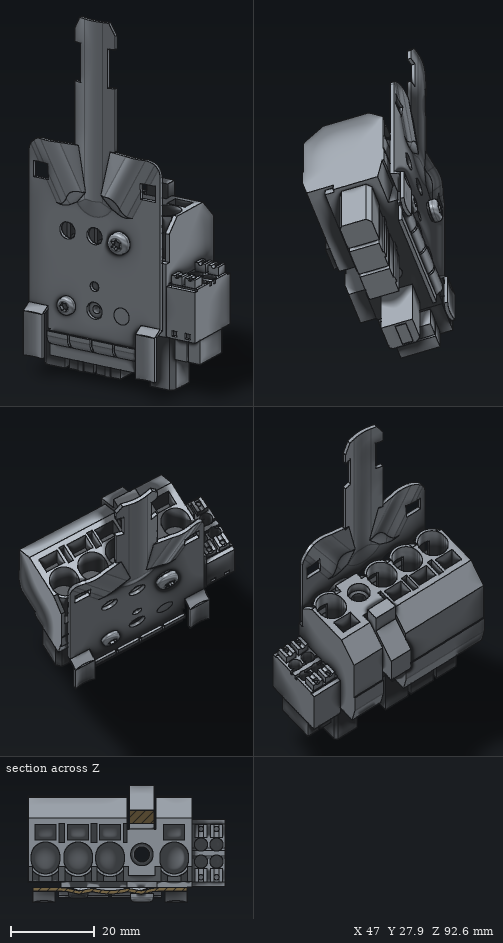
import cadquery as cq
import math


SHEET = 0.9
PLATE_HALF_WIDTH = 18.4
PLATE_TOP = 60.0
PLATE_CORNER_RADIUS = 4.0
NECK_HALF_WIDTH = 13.1
TAIL_HALF_WIDTH = 12.4
TAIL_TOP = 11.9
TAIL_BOTTOM = 5.3
WINDOW_SIZE = 4.1
WINDOW_CENTER_X = 15.0
WINDOW_CENTER_Z = 51.7
FORMING_DEPTH = 3.7

TONGUE_TOP = 92.6
TONGUE_HALF_WIDTH = 5.65
TONGUE_TIP_HALF_WIDTH = 4.1
TONGUE_TIP_HEIGHT = 3.1
TONGUE_NOTCH_HALF_WIDTH = 3.8
TONGUE_NOTCH_BOTTOM = 76.1
TONGUE_NOTCH_TOP = 86.0
TONGUE_CROWN_HALF_WIDTH = 2.5
TONGUE_CROWN_Y = -0.79
TONGUE_FLANGE_Y = -0.51
TONGUE_EDGE_Y = 0.2
TONGUE_CAP_BOTTOM = 42.7
TONGUE_CAP_LENGTH = 4.2

RIDGE_ANGLE = 28.0
RIDGE_END_X = 5.7
RIDGE_END_Z = 48.2
RIDGE_LENGTH = 23.15
RIDGE_OUTER_FOOT = 6.1
RIDGE_BEND = 4.8
RIDGE_BEND_HEIGHT = 0.14
RIDGE_INNER_FOOT = 7.2
RIDGE_CROWN_HALF_WIDTH = 2.4
RIDGE_SHOULDER_HEIGHT = 0.7
RIDGE_HEIGHT = 1.1
RIDGE_CAP_LENGTH = 2.8
RIDGE_CAP_RADIUS = 4.6

FOOT_BOTTOM = 4.9
FOOT_BEND_TOP = 17.7
FOOT_BEND_BOTTOM = 16.2
FOOT_STRIP_TOP = 17.0
FOOT_FRONT_Y = -2.6
FOOT_SAG = 0.42

HOOK_COUNT = 4
HOOK_WIDTH = 5.7
HOOK_PITCH = 6.3
HOOK_BOTTOM = 8.2
HOOK_REACH = 1.6
HOOK_RADIUS = 2.8
HOOK_THICKNESS = 0.65

HOLE_PITCH = 7.6
UPPER_ROW_Z = 37.8
LOWER_ROW_Z = 18.9
HOLE_RADIUS = 2.1
SMALL_HOLE_RADIUS = 1.2
SMALL_HOLE_Z = 25.0

HOUSING_HALF_WIDTH = 19.5
HOUSING_TOP = 44.8
HOUSING_BOTTOM = 15.6
HOUSING_FRONT_Y = 2.3
HOUSING_BACK_Y = 22.4
FRONT_CHAMFER_Y = 5.9
FRONT_CHAMFER_BOTTOM = 41.3
BACK_CHAMFER_Y = 17.5
BACK_CHAMFER_BOTTOM = 39.9
BAND_TOP = 27.3
BAND_BOTTOM = 22.2
BACK_BAND_RISE = 0.3
FRONT_BAND_RISE = 0.2
FRONT_TAPER_TOP_Y = 2.6
FRONT_TAPER_BOTTOM_Y = 3.7
HEEL_BACK_Y = 21.7
HOUSING_HEEL_Z = 17.5
HEEL_Y = 14.9
HEEL_BLOCK_Y = 17.2
HEEL_BLOCK_INSET = 0.7
POLE_CENTERS = [-15.4, -7.6, 0.0, 15.3]
ENTRY_WIDTH = 6.85
ENTRY_LENGTH = 7.6
ENTRY_CENTER_Y = 8.0
ENTRY_DEPTH = 11.1
COLLAR_WALL = 0.65
TEST_POCKET_WIDTH = 5.0
TEST_POCKET_FRONT = 12.2
TEST_POCKET_BACK = 15.9
TEST_POCKET_DEPTH = 7.4
SLOT_FRONT = 11.7
SLOT_BACK = 16.2
DIVIDER_SLOTS = [(-12.1, -10.8), (-4.5, -3.1), (3.2, 4.0)]
SHOULDER_HALF_WIDTH = 3.15
SHOULDER_FLOOR = 34.3
GROOVE_HALF_WIDTH = 1.6
GROOVE_BACK_Y = 5.6
GROOVE_BOTTOM = 34.3
GROOVE_TOP = 40.7
TOOTH_BACK_Y = 3.6
FLANGE_X = 7.6
FLANGE_BLOCK_HALF_WIDTH = 3.15
FLANGE_BLOCK_Y = 3.8
FLANGE_HOLE_Y = 8.8
FLANGE_HOLE_RADIUS = 1.8
FLANGE_BORE_RADIUS = 2.7
FLANGE_BORE_DEPTH = 2.8
PAD_LEFT = -11.8
PAD_TOP = 34.2
BOSS_RADIUS = 3.6
PILOT_RADIUS = 1.0
PILOT_DEPTH = 2.8

LEG_BOTTOM = 0.2
LEG_FRONT_Y = 5.9
LEG_BACK_Y = 13.8
OUTER_LEG_OUTSIDE = 18.4
OUTER_LEG_INSIDE = 11.9
OUTER_LEG_FRONT_CHAMFER = 1.1
OUTER_LEG_BACK_CHAMFER = 0.65
INNER_LEG_WIDTH = 6.8
INNER_LEG_CENTERS = [-7.6, 0.0]
LEG_RIB_WIDTH = 1.5
LEG_RIB_HEIGHT = 0.4
FOOT_PAD_FRONT = 7.8
FOOT_PAD_BACK = 10.5
FOOT_PAD_INSET = 0.6

LATCH_LEFT = 4.6
LATCH_RIGHT = 10.6
LATCH_SLOT_LEFT = 4.1
LATCH_SLOT_RIGHT = 10.9
LATCH_SLOT_Y = 14.8
LATCH_BACK_Y = 25.3
LATCH_POST_BACK = 19.35
LATCH_POST_FRONT = 16.1
LATCH_TOP = 48.1
LATCH_BOTTOM = 29.8
LATCH_SLOPE_TOP = 43.15
LATCH_LEDGE_TOP = 42.6

CONNECTOR_WIDTH = 8.0
CONNECTOR_FRONT = 1.1
CONNECTOR_BACK = 17.1
CONNECTOR_TOP = 28.9
CONNECTOR_STEP = 0.5
CONNECTOR_RIM = 1.1
CONNECTOR_COLUMNS = [21.7, 25.4]
CONNECTOR_MIDDLE_Y = (CONNECTOR_FRONT + CONNECTOR_BACK) / 2
WIRE_OFFSET_Y = 2.0
WIRE_RADIUS = 1.6
WIRE_DEPTH = 7.4
TROUGH_NEAR = 0.65
TROUGH_FAR = 1.2
TROUGH_DEPTH = 0.9
BUTTON_NEAR = 3.7
BUTTON_FAR = 6.85
BUTTON_WIDTH = 2.9
BUTTON_TOP = 31.1
BUTTON_WELL_FLOOR = 25.0
BUTTON_GROOVE_RADIUS = 0.6
BUTTON_DIMPLE_RADIUS = 0.65
BUTTON_DIMPLE_DEPTH = 1.1
BUTTON_DIMPLE_Y = 5.7
PORT_SIZE = 1.4
PORT_Z = 16.85
PORT_DEPTH = 0.7
PRONG_WIDTH = 3.2
PRONG_FRONT = 4.2
PRONG_BACK = 14.1
PRONG_BOTTOM = 9.1

SHANK_RADIUS = 1.4
SHANK_DEPTH = 5.6
UPPER_HEAD_RADIUS = 2.8
UPPER_HEAD_FRONT = 2.6
UPPER_NECK_RADIUS = 2.3
UPPER_NECK_LENGTH = 0.6
LOWER_HEAD_RADIUS = 2.3
LOWER_HEAD_FRONT = 1.7
HEAD_ROUNDING = 0.55
STAR_POINTS = 6
STAR_OUTER = 1.5
STAR_INNER = 0.9
SOCKET_DIAMETER = 2.2
RECESS_DEPTH = 1.1


def box(x0, x1, y0, y1, z0, z1):
    """Box between two opposite corners."""
    return cq.Workplane("XY").box(x1 - x0, y1 - y0, z1 - z0, centered=False).translate((x0, y0, z0))


def rod(x, z, radius, y0, y1):
    """Round bar along Y from y0 to y1."""
    return cq.Workplane("XZ", origin=(x, y0, z)).circle(radius).extrude(y0 - y1)


def post(x, y, radius, z0, z1):
    """Round bar along Z from z0 to z1."""
    return cq.Workplane("XY", origin=(x, y, z0)).circle(radius).extrude(z1 - z0)


def side_prism(points, x0, x1):
    """Prism along X from x0 to x1 over an outline of (y, z) points."""
    return cq.Workplane("YZ", origin=(x0, 0, 0)).polyline(points).close().extrude(x1 - x0)


def capped_crest(crest, half_width, bottom, top, corner_radius, height, slope_length):
    """Slope the lower end of an upright crest down to a rounded foot on the plate."""
    length = top - bottom
    foot_outline = cq.Workplane("XZ", origin=(0, 0, bottom)).moveTo(-half_width, length)
    foot_outline = foot_outline.lineTo(-half_width, corner_radius)
    foot_outline = foot_outline.radiusArc((corner_radius - half_width, 0), -corner_radius)
    if corner_radius < half_width:
        foot_outline = foot_outline.lineTo(half_width - corner_radius, 0)
    foot_outline = foot_outline.radiusArc((half_width, corner_radius), -corner_radius)
    foot_outline = foot_outline.lineTo(half_width, length).close()
    cap = foot_outline.extrude(height, taper=math.degrees(math.atan2(slope_length, height)))
    backing = box(-half_width, half_width, 0, FORMING_DEPTH, bottom, top)
    return crest.intersect(cap.union(backing))


def tongue_block():
    """Upright tongue: a curved crown between two flanges that slope back."""
    crest = (
        cq.Workplane("XY", origin=(0, 0, TONGUE_CAP_BOTTOM))
        .moveTo(-TONGUE_HALF_WIDTH, FORMING_DEPTH)
        .lineTo(-TONGUE_HALF_WIDTH, TONGUE_EDGE_Y)
        .lineTo(-TONGUE_CROWN_HALF_WIDTH, TONGUE_FLANGE_Y)
        .threePointArc((0, TONGUE_CROWN_Y), (TONGUE_CROWN_HALF_WIDTH, TONGUE_FLANGE_Y))
        .lineTo(TONGUE_HALF_WIDTH, TONGUE_EDGE_Y)
        .lineTo(TONGUE_HALF_WIDTH, FORMING_DEPTH)
        .close()
        .extrude(TONGUE_TOP - TONGUE_CAP_BOTTOM)
    )
    return capped_crest(crest, TONGUE_HALF_WIDTH, TONGUE_CAP_BOTTOM, TONGUE_TOP + TONGUE_CAP_LENGTH,
                        TONGUE_HALF_WIDTH, -TONGUE_CROWN_Y, TONGUE_CAP_LENGTH)


def ridge_block():
    """Left wing ridge: a curved crown that leans outward and ends in a slope."""
    crest = (
        cq.Workplane("XY", origin=(0, 0, -RIDGE_CAP_LENGTH))
        .moveTo(-RIDGE_OUTER_FOOT, FORMING_DEPTH)
        .lineTo(-RIDGE_OUTER_FOOT, 0)
        .lineTo(-RIDGE_BEND, -RIDGE_BEND_HEIGHT)
        .lineTo(-RIDGE_CROWN_HALF_WIDTH, -RIDGE_SHOULDER_HEIGHT)
        .threePointArc((0, -RIDGE_HEIGHT), (RIDGE_CROWN_HALF_WIDTH, -RIDGE_SHOULDER_HEIGHT))
        .lineTo(RIDGE_INNER_FOOT, 0)
        .lineTo(RIDGE_INNER_FOOT, FORMING_DEPTH)
        .close()
        .extrude(RIDGE_LENGTH + RIDGE_CAP_LENGTH)
    )
    crest = capped_crest(crest, RIDGE_INNER_FOOT, -RIDGE_CAP_LENGTH, RIDGE_LENGTH,
                         RIDGE_CAP_RADIUS, RIDGE_HEIGHT, RIDGE_CAP_LENGTH)
    upright = crest.rotate((0, 0, 0), (0, 1, 0), -RIDGE_ANGLE)
    above = box(-PLATE_HALF_WIDTH, PLATE_HALF_WIDTH, -FORMING_DEPTH, FORMING_DEPTH, PLATE_TOP, TONGUE_TOP)
    return upright.translate((-RIDGE_END_X, 0, RIDGE_END_Z)).cut(above)


def plate_blank():
    """Flat outline of plate and tongue, deep enough to trim the formed sheet."""
    back = 2 * FORMING_DEPTH
    body = box(-PLATE_HALF_WIDTH, PLATE_HALF_WIDTH, -back, back, FOOT_BEND_BOTTOM, PLATE_TOP)
    body = body.edges("|Y and >Z").fillet(PLATE_CORNER_RADIUS)
    neck = box(-NECK_HALF_WIDTH, NECK_HALF_WIDTH, -back, back, TAIL_TOP, PLATE_TOP)
    tail = box(-TAIL_HALF_WIDTH, TAIL_HALF_WIDTH, -back, back, TAIL_BOTTOM, PLATE_TOP)
    shoulder_z = TONGUE_TOP - TONGUE_TIP_HEIGHT
    right_side = [
        (TONGUE_HALF_WIDTH, PLATE_TOP - PLATE_CORNER_RADIUS),
        (TONGUE_HALF_WIDTH, TONGUE_NOTCH_BOTTOM),
        (TONGUE_NOTCH_HALF_WIDTH, TONGUE_NOTCH_BOTTOM),
        (TONGUE_NOTCH_HALF_WIDTH, TONGUE_NOTCH_TOP),
        (TONGUE_HALF_WIDTH, TONGUE_NOTCH_TOP),
        (TONGUE_HALF_WIDTH, shoulder_z),
        (TONGUE_TIP_HALF_WIDTH, TONGUE_TOP),
    ]
    left_side = [(-x, z) for x, z in reversed(right_side)]
    tongue = cq.Workplane("XZ").polyline(right_side + left_side).close().extrude(back, both=True)
    return body.union(neck).union(tail).union(tongue)


def formed_sheet():
    """Plate with raised tongue and ridges, of one thickness throughout."""
    flat = box(-PLATE_HALF_WIDTH, PLATE_HALF_WIDTH, 0, FORMING_DEPTH, TAIL_BOTTOM, PLATE_TOP)
    ridge = ridge_block()
    block = flat.union(tongue_block()).union(ridge).union(ridge.mirror("YZ"))
    return block.intersect(plate_blank()).cut(block.translate((0, SHEET, 0)))


def foot():
    """Left foot: the sheet steps forward and runs down with a hollow front."""
    outside, inside = -PLATE_HALF_WIDTH, -NECK_HALF_WIDTH
    middle = (outside + inside) / 2
    back_y = FOOT_FRONT_Y + SHEET
    bend = side_prism([
        (SHEET, FOOT_BEND_TOP),
        (0, FOOT_BEND_TOP),
        (FOOT_FRONT_Y, FOOT_BEND_BOTTOM),
        (back_y + FOOT_SAG, FOOT_BEND_BOTTOM),
        (SHEET, FOOT_STRIP_TOP),
    ], outside, inside)
    blade = (
        cq.Workplane("XY", origin=(0, 0, FOOT_BOTTOM))
        .moveTo(outside, FOOT_FRONT_Y)
        .threePointArc((middle, FOOT_FRONT_Y + FOOT_SAG), (inside, FOOT_FRONT_Y))
        .lineTo(inside, back_y)
        .threePointArc((middle, back_y + FOOT_SAG), (outside, back_y))
        .close()
        .extrude(FOOT_BEND_BOTTOM - FOOT_BOTTOM)
    )
    return bend.union(blade)


def hook(center_x):
    """Upturned hook that leaves the plate in an arc and ends upright."""
    arc_center_y = HOOK_RADIUS - HOOK_REACH
    inner_radius = HOOK_RADIUS - HOOK_THICKNESS
    arc_center_z = HOOK_BOTTOM + math.sqrt(HOOK_RADIUS**2 - arc_center_y**2)
    inner_bottom = arc_center_z - math.sqrt(inner_radius**2 - arc_center_y**2)
    profile = (
        cq.Workplane("YZ", origin=(center_x - HOOK_WIDTH / 2, 0, 0))
        .moveTo(0, HOOK_BOTTOM)
        .radiusArc((-HOOK_REACH, arc_center_z), HOOK_RADIUS)
        .lineTo(-HOOK_REACH, TAIL_TOP)
        .lineTo(HOOK_THICKNESS - HOOK_REACH, TAIL_TOP)
        .lineTo(HOOK_THICKNESS - HOOK_REACH, arc_center_z)
        .radiusArc((0, inner_bottom), -inner_radius)
        .close()
    )
    return profile.extrude(HOOK_WIDTH)


def make_plate():
    plate = formed_sheet()
    for side in (-1, 1):
        edge_x = side * (NECK_HALF_WIDTH + PLATE_HALF_WIDTH) / 2
        half = (PLATE_HALF_WIDTH - NECK_HALF_WIDTH) / 2
        plate = plate.cut(box(edge_x - half, edge_x + half, 0, SHEET, FOOT_BEND_BOTTOM, FOOT_STRIP_TOP))
    left_foot = foot()
    plate = plate.union(left_foot).union(left_foot.mirror("YZ"))
    for index in range(HOOK_COUNT):
        plate = plate.union(hook((index - (HOOK_COUNT - 1) / 2) * HOOK_PITCH))
    for side in (-1, 1):
        window_x = side * WINDOW_CENTER_X
        half = WINDOW_SIZE / 2
        plate = plate.cut(box(window_x - half, window_x + half, -FORMING_DEPTH, FORMING_DEPTH,
                              WINDOW_CENTER_Z - half, WINDOW_CENTER_Z + half))
    for x, z in [(-HOLE_PITCH, UPPER_ROW_Z), (0, UPPER_ROW_Z), (0, LOWER_ROW_Z), (HOLE_PITCH, LOWER_ROW_Z)]:
        plate = plate.cut(rod(x, z, HOLE_RADIUS, 0, SHEET))
    plate = plate.cut(rod(0, SMALL_HOLE_Z, SMALL_HOLE_RADIUS, 0, SHEET))
    for x, z in [(HOLE_PITCH, UPPER_ROW_Z), (-HOLE_PITCH, LOWER_ROW_Z)]:
        plate = plate.cut(rod(x, z, SHANK_RADIUS, 0, SHEET))
    return plate


def housing_block():
    """Housing body with chamfered top edges, a raised heel and a pad towards the plate."""
    profile = [
        (HOUSING_FRONT_Y, FRONT_CHAMFER_BOTTOM),
        (FRONT_CHAMFER_Y, HOUSING_TOP),
        (BACK_CHAMFER_Y, HOUSING_TOP),
        (HOUSING_BACK_Y, BACK_CHAMFER_BOTTOM),
        (HOUSING_BACK_Y, BAND_TOP),
        (HOUSING_BACK_Y + BACK_BAND_RISE, BAND_TOP),
        (HOUSING_BACK_Y + BACK_BAND_RISE, BAND_BOTTOM),
        (HEEL_BACK_Y, HOUSING_HEEL_Z),
        (HEEL_Y, HOUSING_HEEL_Z),
        (HEEL_Y, HOUSING_BOTTOM),
        (FRONT_TAPER_BOTTOM_Y, HOUSING_BOTTOM),
        (FRONT_TAPER_TOP_Y, BAND_BOTTOM),
        (HOUSING_FRONT_Y - FRONT_BAND_RISE, BAND_BOTTOM),
        (HOUSING_FRONT_Y - FRONT_BAND_RISE, BAND_TOP),
        (HOUSING_FRONT_Y, BAND_TOP),
    ]
    block = side_prism(profile, -HOUSING_HALF_WIDTH, HOUSING_HALF_WIDTH)
    heel_half = HOUSING_HALF_WIDTH - HEEL_BLOCK_INSET
    block = block.union(box(-heel_half, heel_half, HEEL_Y, HEEL_BLOCK_Y, HOUSING_BOTTOM, HOUSING_HEEL_Z))
    return block.union(box(PAD_LEFT, HOUSING_HALF_WIDTH, SHEET, FRONT_CHAMFER_Y, HOUSING_BOTTOM, PAD_TOP))


def entry(center_x, wall, z0, z1):
    """Upright round-ended bar of a wire entry, enlarged by a wall."""
    width = ENTRY_WIDTH + 2 * wall
    length = ENTRY_LENGTH + 2 * wall
    outline = cq.Workplane("XY", origin=(center_x, ENTRY_CENTER_Y, z0)).slot2D(length, width, 90)
    return outline.extrude(z1 - z0)


def add_pole(housing, x):
    """Wire entry with collar, sloping tooth, front groove and test pocket of one pole."""
    shoulder = box(x - SHOULDER_HALF_WIDTH, x + SHOULDER_HALF_WIDTH, 0, FRONT_CHAMFER_Y,
                   SHOULDER_FLOOR, HOUSING_TOP)
    tooth = box(x - GROOVE_HALF_WIDTH, x + GROOVE_HALF_WIDTH, 0, TOOTH_BACK_Y, GROOVE_TOP, HOUSING_TOP)
    housing = housing.cut(shoulder.cut(tooth))
    collar = entry(x, COLLAR_WALL, SHOULDER_FLOOR, HOUSING_TOP).intersect(shoulder)
    housing = housing.union(collar)
    housing = housing.cut(box(x - GROOVE_HALF_WIDTH, x + GROOVE_HALF_WIDTH, SHEET, GROOVE_BACK_Y,
                              GROOVE_BOTTOM, GROOVE_TOP))
    housing = housing.cut(entry(x, 0, HOUSING_TOP - ENTRY_DEPTH, HOUSING_TOP))
    return housing.cut(box(x - TEST_POCKET_WIDTH / 2, x + TEST_POCKET_WIDTH / 2, TEST_POCKET_FRONT,
                           TEST_POCKET_BACK, HOUSING_TOP - TEST_POCKET_DEPTH, HOUSING_TOP))


def add_flange(housing):
    """Screw flange with its stepped hole, and the slot that takes the latch."""
    housing = housing.union(box(FLANGE_X - FLANGE_BLOCK_HALF_WIDTH, FLANGE_X + FLANGE_BLOCK_HALF_WIDTH,
                                FLANGE_BLOCK_Y, FRONT_CHAMFER_Y, FRONT_CHAMFER_BOTTOM, HOUSING_TOP))
    housing = housing.cut(post(FLANGE_X, FLANGE_HOLE_Y, FLANGE_HOLE_RADIUS, 0, HOUSING_TOP))
    housing = housing.cut(post(FLANGE_X, FLANGE_HOLE_Y, FLANGE_BORE_RADIUS,
                               HOUSING_TOP - FLANGE_BORE_DEPTH, HOUSING_TOP))
    return housing.cut(box(LATCH_SLOT_LEFT, LATCH_SLOT_RIGHT, LATCH_SLOT_Y, LATCH_BACK_Y, 0, HOUSING_TOP))


def outer_leg():
    """Left outer leg, chamfered on its outer edges."""
    outside, inside = -OUTER_LEG_OUTSIDE, -OUTER_LEG_INSIDE
    outline = [
        (inside, LEG_FRONT_Y),
        (outside + OUTER_LEG_FRONT_CHAMFER, LEG_FRONT_Y),
        (outside, LEG_FRONT_Y + OUTER_LEG_FRONT_CHAMFER),
        (outside, LEG_BACK_Y - OUTER_LEG_BACK_CHAMFER),
        (outside + OUTER_LEG_BACK_CHAMFER, LEG_BACK_Y),
        (inside, LEG_BACK_Y),
    ]
    leg = cq.Workplane("XY", origin=(0, 0, LEG_BOTTOM)).polyline(outline).close()
    return leg.extrude(HOUSING_BOTTOM - LEG_BOTTOM)


def inner_leg(x):
    """Inner leg with a rib down its front."""
    half = INNER_LEG_WIDTH / 2
    rib_half = LEG_RIB_WIDTH / 2
    rib_back = LEG_FRONT_Y + LEG_RIB_HEIGHT
    leg = box(x - half, x + half, rib_back, LEG_BACK_Y, LEG_BOTTOM, HOUSING_BOTTOM)
    return leg.union(box(x - rib_half, x + rib_half, LEG_FRONT_Y, rib_back, LEG_BOTTOM, HOUSING_BOTTOM))


def make_housing():
    housing = housing_block()
    for x in POLE_CENTERS:
        housing = add_pole(housing, x)
    for left, right in DIVIDER_SLOTS:
        housing = housing.cut(box(left, right, SLOT_FRONT, SLOT_BACK,
                                  HOUSING_TOP - TEST_POCKET_DEPTH, HOUSING_TOP))
    housing = add_flange(housing)
    left_leg = outer_leg()
    housing = housing.union(left_leg).union(left_leg.mirror("YZ"))
    for x in INNER_LEG_CENTERS:
        housing = housing.union(inner_leg(x))
    housing = housing.union(box(OUTER_LEG_INSIDE + FOOT_PAD_INSET, OUTER_LEG_OUTSIDE - FOOT_PAD_INSET,
                                FOOT_PAD_FRONT, FOOT_PAD_BACK, 0, LEG_BOTTOM))
    housing = housing.union(rod(HOLE_PITCH, UPPER_ROW_Z, BOSS_RADIUS, SHEET, HOUSING_FRONT_Y))
    housing = housing.union(rod(HOLE_PITCH, LOWER_ROW_Z, HOLE_RADIUS, 0, SHEET))
    housing = housing.cut(rod(0, LOWER_ROW_Z, PILOT_RADIUS, SHEET, SHEET + PILOT_DEPTH))
    for x, z in [(HOLE_PITCH, UPPER_ROW_Z), (-HOLE_PITCH, LOWER_ROW_Z)]:
        housing = housing.cut(rod(x, z, SHANK_RADIUS, 0, SHANK_DEPTH))
    return housing


def make_latch():
    """Locking lever with an upright post, held in the slot of the housing."""
    profile = [
        (LATCH_SLOT_Y, LATCH_BOTTOM),
        (LATCH_BACK_Y, LATCH_BOTTOM),
        (LATCH_BACK_Y, LATCH_SLOPE_TOP - (LATCH_BACK_Y - LATCH_POST_BACK)),
        (LATCH_POST_BACK, LATCH_SLOPE_TOP),
        (LATCH_POST_BACK, LATCH_TOP),
        (LATCH_POST_FRONT, LATCH_TOP),
        (LATCH_POST_FRONT, LATCH_LEDGE_TOP),
        (LATCH_SLOT_Y, LATCH_LEDGE_TOP),
    ]
    return side_prism(profile, LATCH_LEFT, LATCH_RIGHT)


def row_span(row, near, far):
    """Y range at two distances from the middle wall, towards the front (-1) or the back (1)."""
    return sorted((CONNECTOR_MIDDLE_Y + row * near, CONNECTOR_MIDDLE_Y + row * far))


def button_body(x, row, bottom, top):
    """Plain block of one push button, also used for its well."""
    front, back = row_span(row, BUTTON_NEAR, BUTTON_FAR)
    return box(x - BUTTON_WIDTH / 2, x + BUTTON_WIDTH / 2, front, back, bottom, top)


def make_connector():
    left = HOUSING_HALF_WIDTH
    right = left + CONNECTOR_WIDTH
    connector = side_prism([
        (CONNECTOR_FRONT, HOUSING_BOTTOM),
        (CONNECTOR_FRONT, CONNECTOR_TOP - CONNECTOR_STEP),
        (CONNECTOR_FRONT + CONNECTOR_RIM, CONNECTOR_TOP - CONNECTOR_STEP),
        (CONNECTOR_FRONT + CONNECTOR_RIM, CONNECTOR_TOP),
        (CONNECTOR_BACK - CONNECTOR_RIM, CONNECTOR_TOP),
        (CONNECTOR_BACK - CONNECTOR_RIM, CONNECTOR_TOP - CONNECTOR_STEP),
        (CONNECTOR_BACK, CONNECTOR_TOP - CONNECTOR_STEP),
        (CONNECTOR_BACK, HOUSING_BOTTOM),
    ], left, right)
    for row in (-1, 1):
        front, back = row_span(row, TROUGH_NEAR, TROUGH_FAR)
        connector = connector.cut(box(left, right, front, back, CONNECTOR_TOP - TROUGH_DEPTH, CONNECTOR_TOP))
        for x in CONNECTOR_COLUMNS:
            wire_y = CONNECTOR_MIDDLE_Y + row * WIRE_OFFSET_Y
            connector = connector.cut(post(x, wire_y, WIRE_RADIUS, CONNECTOR_TOP - WIRE_DEPTH, CONNECTOR_TOP))
            connector = connector.cut(button_body(x, row, BUTTON_WELL_FLOOR, CONNECTOR_TOP))
    for x in CONNECTOR_COLUMNS:
        half = PORT_SIZE / 2
        connector = connector.cut(box(x - half, x + half, CONNECTOR_FRONT, CONNECTOR_FRONT + PORT_DEPTH,
                                      PORT_Z - half, PORT_Z + half))
        connector = connector.union(box(x - PRONG_WIDTH / 2, x + PRONG_WIDTH / 2, PRONG_FRONT, PRONG_BACK,
                                        PRONG_BOTTOM, HOUSING_BOTTOM))
    return connector


def make_button(x, row):
    """Push button with a groove along its top and a dimple for the tool tip."""
    button = button_body(x, row, BUTTON_WELL_FLOOR, BUTTON_TOP)
    front, back = row_span(row, BUTTON_NEAR, BUTTON_FAR)
    button = button.cut(rod(x, BUTTON_TOP, BUTTON_GROOVE_RADIUS, front, back))
    dimple_y = CONNECTOR_MIDDLE_Y + row * BUTTON_DIMPLE_Y
    return button.cut(post(x, dimple_y, BUTTON_DIMPLE_RADIUS, BUTTON_TOP - BUTTON_DIMPLE_DEPTH, BUTTON_TOP))


def domed_head(x, z, radius, back_y, front_y):
    """Screw head with a rounded front edge."""
    head = rod(x, z, radius, front_y, back_y)
    return head.faces("<Y").edges().fillet(HEAD_ROUNDING * (back_y - front_y))


def make_upper_screw():
    """Pan-head screw with a six-pointed recess."""
    x, z = HOLE_PITCH, UPPER_ROW_Z
    head = domed_head(x, z, UPPER_HEAD_RADIUS, -UPPER_NECK_LENGTH, -UPPER_HEAD_FRONT)
    star = []
    for index in range(2 * STAR_POINTS):
        angle = math.pi * index / STAR_POINTS
        radius = STAR_OUTER if index % 2 else STAR_INNER
        star.append((radius * math.cos(angle), radius * math.sin(angle)))
    recess = cq.Workplane("XZ", origin=(x, -UPPER_HEAD_FRONT, z)).polyline(star).close()
    screw = head.union(rod(x, z, UPPER_NECK_RADIUS, -UPPER_NECK_LENGTH, 0))
    return screw.union(rod(x, z, SHANK_RADIUS, 0, SHANK_DEPTH)).cut(recess.extrude(-RECESS_DEPTH))


def make_lower_screw():
    """Small domed screw with a hexagon socket."""
    x, z = -HOLE_PITCH, LOWER_ROW_Z
    head = domed_head(x, z, LOWER_HEAD_RADIUS, 0, -LOWER_HEAD_FRONT)
    socket = cq.Workplane("XZ", origin=(x, -LOWER_HEAD_FRONT, z)).polygon(6, SOCKET_DIAMETER)
    return head.union(rod(x, z, SHANK_RADIUS, 0, SHANK_DEPTH)).cut(socket.extrude(-RECESS_DEPTH))


plate = make_plate()
housing = make_housing()
latch = make_latch()
connector = make_connector()
buttons = [make_button(x, row) for row in (-1, 1) for x in CONNECTOR_COLUMNS]
upper_screw = make_upper_screw()
lower_screw = make_lower_screw()

bodies = [plate, housing, latch, connector, *buttons, upper_screw, lower_screw]
result = cq.Compound.makeCompound([body.solids().val() for body in bodies])